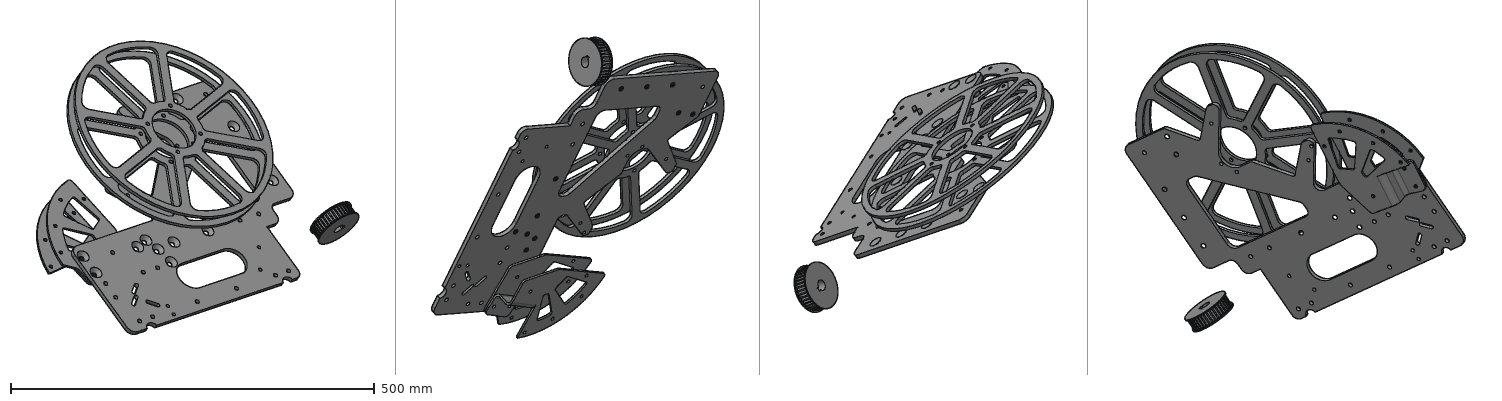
import cadquery as cq
import math

TILT_ANGLE = 37.2

WHEEL_THICKNESS = 4.8
UPPER_WHEEL_BOTTOM = 21.5
LOWER_WHEEL_BOTTOM = -1.5
PLATE_THICKNESS = 6.35
PLATE_TOP = -11.7
PLATE_BOTTOM = PLATE_TOP - PLATE_THICKNESS
SHEET_THICKNESS = 3.2
UPPER_SECTOR_BOTTOM = PLATE_BOTTOM - SHEET_THICKNESS
FLANGE_BOTTOM = UPPER_SECTOR_BOTTOM - SHEET_THICKNESS
LOWER_SECTOR_BOTTOM = -53.5
LOWER_SECTOR_TOP = LOWER_SECTOR_BOTTOM + SHEET_THICKNESS

WHEEL_CENTER = (-48.5, 30.0)
WHEEL_RADIUS = 149.5
HUB_BORE_RADIUS = 33.5
RIM_INNER_RADIUS = 140.0
HUB_OUTER_RADIUS = 47.0
SPOKE_COUNT = 8
SPOKE_WIDTH = 13.5
FIRST_SPOKE_ANGLE = 15.5
WINDOW_INNER_FILLET = 6.0
WINDOW_OUTER_FILLET = 10.0
HUB_SCREW_COUNT = 4
HUB_SCREW_CIRCLE_RADIUS = 40.5
HUB_SCREW_DIAMETER = 5.5
FIRST_HUB_SCREW_ANGLE = FIRST_SPOKE_ANGLE + 360 / SPOKE_COUNT

PLATE_RIGHT = 208.0
PLATE_FRONT = -226.0
PLATE_BACK = 179.0
COLUMN_LEFT = 54.5
ARM_SHIFT = (103.0, -102.0)
ARM_TIP = (-123.5, 16.5)
ARM_TIP_LENGTH = 24.5
ARM_VALLEY = (-83.0, 60.0)
BORE_RELIEF_RADIUS = 20.5
BORE_RELIEF_RIGHT = -26.0

SLOT_CENTER = (152.5, -30.5)
SLOT_LENGTH = 123.0
SLOT_WIDTH = 44.0
NOTCH_RADIUS = 9.0
NOTCH_OVERHANG = 2.0
NOTCH_HEIGHTS = (72.0, -187.0)
EDGE_SCREW_X = 193.5
NOTCH_SCREW_OFFSET = 12.5
EDGE_SCREW_HEIGHTS = (-15.0, -89.5)
SCREW_DIAMETER = 6.0
PIN_DIAMETER = 5.0
COUNTERSINK_DIAMETER = 18.0
COUNTERSINK_BORE = 7.0
COUNTERSINK_ANGLE = 90
SHORT_SLOT_LENGTH = 21.0
SHORT_SLOT_WIDTH = 5.5

SECTOR_CENTER = (76.0, -123.5)
SECTOR_RADIUS = 126.0
SECTOR_WINDOW_RADIUS = 103.0
SECTOR_WINDOW_FILLET = 3.5
SECTOR_CORNER_FILLET = 5.0
SECTOR_HOLE_DIAMETER = 5.0
PIVOT_HOLE = (81.5, -165.0)

WEB_ORIGIN = (59.5, -200.0)
WEB_ANGLE = 10
WEB_LENGTH = 48.5
BEND_INNER_RADIUS = 6.0
BEND_OUTER_RADIUS = BEND_INNER_RADIUS + SHEET_THICKNESS
FLANGE_REACH = 35.0

PULLEY_CENTER = (143.5, 215.5, -20.0)
PULLEY_WIDTH = 21.0
PULLEY_FLANGE_RADIUS = 33.5
PULLEY_FLANGE_THICKNESS = 2.0
PULLEY_TOOTH_RADIUS = 31.5
PULLEY_TOOTH_COUNT = 40
TOOTH_GAP_RADIUS = 1.5
PULLEY_BORE_DIAMETER = 15.0
KEYWAY_WIDTH = 5.0
KEYWAY_REACH = 10.0


def polar(center, radius, degrees):
    angle = math.radians(degrees)
    return (center[0] + radius * math.cos(angle), center[1] + radius * math.sin(angle))


def shifted(point, offset):
    return (point[0] + offset[0], point[1] + offset[1])


def corner_arc(before, corner, after, radius):
    """Start, middle and end of the arc that rounds a corner."""
    to_before = cq.Vector(before[0] - corner[0], before[1] - corner[1]).normalized()
    to_after = cq.Vector(after[0] - corner[0], after[1] - corner[1]).normalized()
    half_angle = to_before.getAngle(to_after) / 2
    tip = cq.Vector(corner[0], corner[1])
    inward = (to_before + to_after).normalized()
    setback = radius / math.tan(half_angle)
    gap = radius / math.sin(half_angle) - radius
    arc_points = (tip + to_before * setback, tip + inward * gap, tip + to_after * setback)
    return [point.toTuple()[:2] for point in arc_points]


def rounded_prism(corners, bottom, height):
    """Prism on a polygon given as (x, y, corner radius)."""
    outline = cq.Workplane("XY").workplane(offset=bottom)
    started = False
    for index, (x, y, radius) in enumerate(corners):
        before = corners[index - 1][:2]
        after = corners[(index + 1) % len(corners)][:2]
        arc = corner_arc(before, (x, y), after, radius) if radius else [(x, y)]
        outline = outline.lineTo(*arc[0]) if started else outline.moveTo(*arc[0])
        started = True
        if radius:
            outline = outline.threePointArc(arc[1], arc[2])
    return outline.close().extrude(height)


def disc(center, radius, bottom, height):
    return cq.Workplane("XY", origin=(*center, bottom)).circle(radius).extrude(height)


def drilled(body, points, diameter):
    """Body with straight holes through its whole height."""
    box = body.val().BoundingBox()
    cutter = cq.Workplane("XY", origin=(0, 0, box.zmin)).pushPoints(points)
    return body.cut(cutter.circle(diameter / 2).extrude(box.zlen))


def wheel_window(bottom):
    """Opening between two neighbouring spokes, centred on the +X direction."""
    half_angle = math.radians(180 / SPOKE_COUNT)
    apex = SPOKE_WIDTH / 2 / math.sin(half_angle)
    reach = WHEEL_RADIUS
    side = reach * math.tan(half_angle)
    wedge = (
        cq.Workplane("XY", origin=(0, 0, bottom))
        .polyline([(apex, 0), (apex + reach, side), (apex + reach, -side)])
        .close()
        .extrude(WHEEL_THICKNESS)
    )
    ring = (
        cq.Workplane("XY", origin=(0, 0, bottom))
        .circle(RIM_INNER_RADIUS)
        .circle(HUB_OUTER_RADIUS)
        .extrude(WHEEL_THICKNESS)
    )
    middle = (HUB_OUTER_RADIUS + RIM_INNER_RADIUS) / 2
    inner_corners = cq.selectors.BoxSelector((0, -reach, bottom - 5), (middle, reach, bottom + 10))
    outer_corners = cq.selectors.BoxSelector((middle, -reach, bottom - 5), (reach, reach, bottom + 10))
    window = wedge.intersect(ring)
    window = window.edges("|Z").edges(inner_corners).fillet(WINDOW_INNER_FILLET)
    return window.edges("|Z").edges(outer_corners).fillet(WINDOW_OUTER_FILLET)


def make_wheel(bottom):
    wheel = disc((0, 0), WHEEL_RADIUS, bottom, WHEEL_THICKNESS)
    wheel = wheel.cut(disc((0, 0), HUB_BORE_RADIUS, bottom, WHEEL_THICKNESS))
    window = wheel_window(bottom)
    for index in range(SPOKE_COUNT):
        angle = FIRST_SPOKE_ANGLE + (index + 0.5) * 360 / SPOKE_COUNT
        wheel = wheel.cut(window.rotate((0, 0, 0), (0, 0, 1), angle))
    screws = [
        polar((0, 0), HUB_SCREW_CIRCLE_RADIUS, FIRST_HUB_SCREW_ANGLE + index * 360 / HUB_SCREW_COUNT)
        for index in range(HUB_SCREW_COUNT)
    ]
    return drilled(wheel, screws, HUB_SCREW_DIAMETER).translate((*WHEEL_CENTER, 0))


def arm_corners(offset, valley_radius):
    """Inner corner beside an arm, then the two corners of the arm's end."""
    valley = shifted(ARM_VALLEY, offset)
    tip = shifted(ARM_TIP, offset)
    return [(*valley, valley_radius), (*tip, 4.0), (tip[0], tip[1] - ARM_TIP_LENGTH, 7.5)]


def plate_blank():
    corners = [
        (-121.0, PLATE_BACK, 11.0),
        (-121.0, 99.5, 4.0),
        *arm_corners((0, 0), 4.0),
        (BORE_RELIEF_RIGHT, 69.5, BORE_RELIEF_RADIUS),
        (BORE_RELIEF_RIGHT, 6.0, 4.0),
        *arm_corners(ARM_SHIFT, 4.0),
        (COLUMN_LEFT, -50.5, 10.0),
        (COLUMN_LEFT, PLATE_FRONT, 12.5),
        (PLATE_RIGHT, PLATE_FRONT, 12.5),
        (PLATE_RIGHT, 100.0, 10.0),
        (119.5, 100.0, 0),
        (119.5, 128.0, 11.5),
        (89.5, 128.0, 10.0),
        (89.5, PLATE_BACK, 12.0),
    ]
    return rounded_prism(corners, PLATE_BOTTOM, PLATE_THICKNESS)


def plate_window():
    corners = [
        (-40.5, 123.5, 10.0),
        (-40.5, 101.0, 10.0),
        (58.0, -27.5, 10.0),
        (78.0, -27.5, 10.0),
        (78.0, 123.5, 12.0),
    ]
    return rounded_prism(corners, PLATE_BOTTOM, PLATE_THICKNESS)


def plate_slot(center, length, width, angle):
    base = cq.Workplane("XY", origin=(*center, PLATE_BOTTOM))
    return base.slot2D(length, width, angle).extrude(PLATE_THICKNESS)


COUNTERSUNK_POINTS = [
    (-108.5, 103.5),
    (-79.5, 108.0),
    (-41.5, 159.5),
    (7.0, 159.5),
    (55.0, 159.5),
    (96.5, 5.0),
    (96.5, -59.5),
    (124.0, -85.5),
    (99.0, -91.5),
    (80.0, -100.5),
    (85.5, -120.5),
]
BRACKET_SCREW_POINTS = [(72.5, -214.5), (102.5, -213.0)]
PLATE_SCREW_POINTS = [
    (-101.0, 152.0),
    (97.0, 101.5),
    (97.0, 65.5),
    (125.5, -113.0),
    (125.0, -140.0),
    PIVOT_HOLE,
    (123.0, -210.0),
    (147.5, -210.0),
]
PLATE_PIN_POINTS = [
    (-99.0, 26.0),
    (6.5, -78.5),
    (-41.0, 51.5),
    (-21.0, 37.5),
    (145.2, 65.0),
    (178.0, 42.5),
    (185.5, -140.0),
    (200.5, -140.0),
    (-10.0, -96.5),
]
SHORT_SLOTS = [(145.0, -170.5, -53), (161.5, -184.0, -53), (174.5, -159.5, 50)]


def make_side_plate():
    plate = plate_blank().cut(plate_window())
    plate = plate.cut(plate_slot(SLOT_CENTER, SLOT_LENGTH, SLOT_WIDTH, 90))
    for x, y, angle in SHORT_SLOTS:
        plate = plate.cut(plate_slot((x, y), SHORT_SLOT_LENGTH, SHORT_SLOT_WIDTH, angle))

    edge_screws = [(EDGE_SCREW_X, y) for y in EDGE_SCREW_HEIGHTS]
    for y in NOTCH_HEIGHTS:
        notch_center = (PLATE_RIGHT + NOTCH_OVERHANG, y)
        plate = plate.cut(disc(notch_center, NOTCH_RADIUS, PLATE_BOTTOM, PLATE_THICKNESS))
        edge_screws.append((EDGE_SCREW_X, y + NOTCH_SCREW_OFFSET))
        edge_screws.append((EDGE_SCREW_X, y - NOTCH_SCREW_OFFSET))

    plate = drilled(plate, edge_screws + PLATE_SCREW_POINTS, SCREW_DIAMETER)
    plate = drilled(plate, PLATE_PIN_POINTS, PIN_DIAMETER)
    top_face = cq.Workplane("XY", origin=(0, 0, PLATE_TOP)).add(plate)
    return top_face.pushPoints(COUNTERSUNK_POINTS + BRACKET_SCREW_POINTS).cskHole(
        COUNTERSINK_BORE, COUNTERSINK_DIAMETER, COUNTERSINK_ANGLE
    )


SECTOR_BACK_CORNERS = [(-64.5, -145.5, 0), (47.0, -129.0, 7.5), (104.0, -145.5, 6.0)]
SECTOR_HOLES = [(-12.5, -144.5), (-22.5, -181.0), (12.5, -218.0), (53.5, -239.0), PIVOT_HOLE]
LONG_WINDOW = [(-25.0, -158.0), (25.0, -142.5), (36.5, -164.0), (-5.0, -199.5)]
UPPER_CORNER_WINDOW = [(16.0, -212.0), (43.5, -170.0), (56.5, -170.0), (56.5, -229.0)]
LOWER_CORNER_WINDOW = [(16.0, -212.0), (43.5, -172.0), (53.5, -172.0), (40.5, -223.0)]


def sector_window(corners, bottom):
    """Polygon opening whose outer side follows the sector's rim."""
    base = cq.Workplane("XY", origin=(0, 0, bottom))
    opening = base.polyline(corners).close().extrude(SHEET_THICKNESS)
    opening = opening.intersect(disc(SECTOR_CENTER, SECTOR_WINDOW_RADIUS, bottom, SHEET_THICKNESS))
    return opening.edges("|Z").fillet(SECTOR_WINDOW_FILLET)


def make_sector(front_corners, corner_window, bottom):
    corners = SECTOR_BACK_CORNERS + front_corners + [(-64.5, -258.5, 0)]
    sector = rounded_prism(corners, bottom, SHEET_THICKNESS)
    sector = sector.intersect(disc(SECTOR_CENTER, SECTOR_RADIUS, bottom, SHEET_THICKNESS))
    sector = sector.edges("|Z and <X").fillet(SECTOR_CORNER_FILLET)
    for window in (LONG_WINDOW, corner_window):
        sector = sector.cut(sector_window(window, bottom))
    return drilled(sector, SECTOR_HOLES, SECTOR_HOLE_DIAMETER)


def make_upper_sector():
    front_corners = [(112.5, -226.5, 7.5), (84.5, -230.5, 7.5), (71.0, -250.0, 0)]
    sector = make_sector(front_corners, UPPER_CORNER_WINDOW, UPPER_SECTOR_BOTTOM)
    return drilled(sector, BRACKET_SCREW_POINTS, SECTOR_HOLE_DIAMETER)


def web_point(along, across):
    """Plan position from a distance along the web and a distance towards the sector."""
    start = polar(WEB_ORIGIN, along, WEB_ANGLE)
    return polar(start, across, WEB_ANGLE + 90)


def bent_web():
    """Sheet that turns up from the lower sector and turns away again under the upper one."""
    diagonal = math.sqrt(0.5)
    low_bend = (BEND_OUTER_RADIUS, LOWER_SECTOR_BOTTOM + BEND_OUTER_RADIUS)
    high_bend = (-BEND_INNER_RADIUS, FLANGE_BOTTOM - BEND_INNER_RADIUS)

    def on_low_bend(radius):
        return (low_bend[0] - radius * diagonal, low_bend[1] - radius * diagonal)

    def on_high_bend(radius):
        return (high_bend[0] + radius * diagonal, high_bend[1] + radius * diagonal)

    along = polar((0, 0), 1, WEB_ANGLE)
    across = polar((0, 0), 1, WEB_ANGLE + 90)
    section_plane = cq.Plane(
        origin=(*WEB_ORIGIN, 0), xDir=(*across, 0), normal=(-along[0], -along[1], 0)
    )
    def flip(point):
        return (point[0], point[1] * section_plane.yDir.z)

    section = (
        cq.Workplane(section_plane)
        .moveTo(*flip((low_bend[0], LOWER_SECTOR_BOTTOM)))
        .threePointArc(flip(on_low_bend(BEND_OUTER_RADIUS)), flip((0, low_bend[1])))
        .lineTo(*flip((0, high_bend[1])))
        .threePointArc(flip(on_high_bend(BEND_INNER_RADIUS)), flip((high_bend[0], FLANGE_BOTTOM)))
        .lineTo(*flip((high_bend[0], UPPER_SECTOR_BOTTOM)))
        .threePointArc(flip(on_high_bend(BEND_OUTER_RADIUS)), flip((SHEET_THICKNESS, high_bend[1])))
        .lineTo(*flip((SHEET_THICKNESS, low_bend[1])))
        .threePointArc(flip(on_low_bend(BEND_INNER_RADIUS)), flip((low_bend[0], LOWER_SECTOR_TOP)))
        .close()
    )
    return section.extrude(-WEB_LENGTH)


def web_flange():
    corners = [
        (*web_point(0, -BEND_INNER_RADIUS), 0),
        (*web_point(WEB_LENGTH, -BEND_INNER_RADIUS), 0),
        (*web_point(WEB_LENGTH, -FLANGE_REACH), 7.5),
        (*web_point(0, -FLANGE_REACH), 7.5),
    ]
    flange = rounded_prism(corners, FLANGE_BOTTOM, SHEET_THICKNESS)
    return drilled(flange, BRACKET_SCREW_POINTS, SECTOR_HOLE_DIAMETER)


def make_lower_sector():
    front_corners = [
        (*web_point(WEB_LENGTH, BEND_OUTER_RADIUS), 0),
        (*web_point(0, BEND_OUTER_RADIUS), 0),
        (62.5, -250.0, 4.0),
    ]
    sector = make_sector(front_corners, LOWER_CORNER_WINDOW, LOWER_SECTOR_BOTTOM)
    return sector.union(bent_web()).union(web_flange())


def make_pulley():
    """Toothed drum between two thin flanges, built around the X axis."""
    def cylinder(radius, start, length):
        return cq.Workplane("YZ", origin=(start, 0, 0)).circle(radius).extrude(length)

    half_width = PULLEY_WIDTH / 2
    drum_width = PULLEY_WIDTH - 2 * PULLEY_FLANGE_THICKNESS
    drum_start = PULLEY_FLANGE_THICKNESS - half_width
    pulley = cylinder(PULLEY_TOOTH_RADIUS, drum_start, drum_width)
    gaps = (
        cq.Workplane("YZ", origin=(drum_start, 0, 0))
        .polarArray(PULLEY_TOOTH_RADIUS, 0, 360, PULLEY_TOOTH_COUNT)
        .circle(TOOTH_GAP_RADIUS)
        .extrude(drum_width)
    )
    pulley = pulley.cut(gaps)
    for start in (-half_width, half_width - PULLEY_FLANGE_THICKNESS):
        pulley = pulley.union(cylinder(PULLEY_FLANGE_RADIUS, start, PULLEY_FLANGE_THICKNESS))
    keyway = cq.Workplane("XY").box(PULLEY_WIDTH, KEYWAY_REACH, KEYWAY_WIDTH)
    pulley = pulley.cut(cylinder(PULLEY_BORE_DIAMETER / 2, -half_width, PULLEY_WIDTH))
    pulley = pulley.cut(keyway.translate((0, KEYWAY_REACH / 2, 0)))
    return pulley.translate(PULLEY_CENTER)


def tilted(body):
    return body.rotate((0, 0, 0), (0, 1, 0), TILT_ANGLE).val()


wheels = [make_wheel(bottom) for bottom in (LOWER_WHEEL_BOTTOM, UPPER_WHEEL_BOTTOM)]
side_plate = make_side_plate()
upper_sector = make_upper_sector()
lower_sector = make_lower_sector()
pulley = make_pulley()

result = cq.Compound.makeCompound(
    [tilted(body) for body in (*wheels, side_plate, upper_sector, lower_sector, pulley)]
)